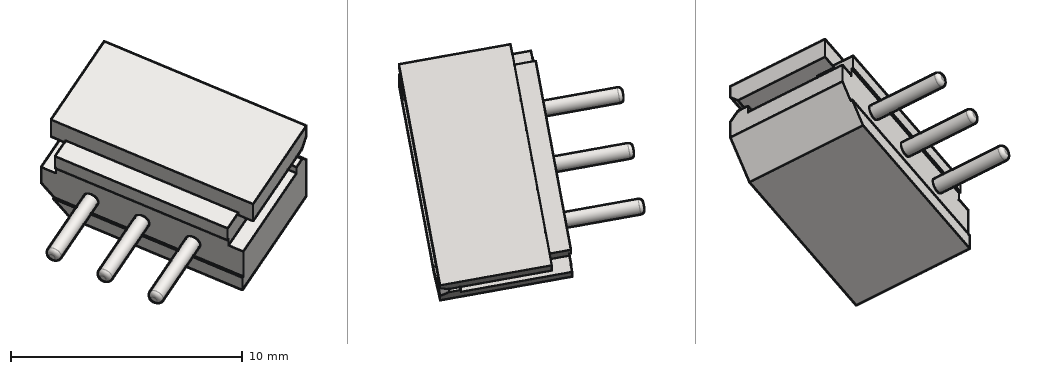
import cadquery as cq
import math

width = 9.9
height = 4.9
depth = 5.8
recess_depth = 0.08
rail_width = 0.72
rail_height = 2.6
floor_thickness = 0.495

front_pad_height = 0.87
block_depth = 1.8
block_height = 3.87
block_pad_bottom = 3.04

plate_bottom = 3.71
plate_front = 0.9

lip_height = 3.02
lip_length = 0.91
lead_in_depth = 0.4
lead_in_height = 0.48

key_size = 1.5
key_wall = 0.495

pin_diameter = 0.7
pin_length = 3.59
pin_pitch = 2.49
pin_count = 3
pin_height = 1.81
pin_tip_radius = 0.21


def extrude_across(points, left, right):
    """Extrude a Y-Z outline between two X positions."""
    return cq.Workplane("YZ").workplane(offset=left).polyline(points).close().extrude(right - left)


def extrude_back(points, front, back):
    """Extrude an X-Z outline between two Y positions."""
    return cq.Workplane("XZ", origin=(0, front, 0)).polyline(points).close().extrude(front - back)


def make_base():
    """Lower housing with its proud pad and the catch lip along the back."""
    side_outline = [
        (-recess_depth, 0),
        (depth, 0),
        (depth, lip_height - lead_in_height),
        (depth - lead_in_depth, lip_height),
        (depth - lip_length, lip_height),
        (depth - lip_length, rail_height),
        (0, rail_height),
        (0, front_pad_height),
        (-recess_depth, front_pad_height),
    ]
    return extrude_across(side_outline, 0, width)


def make_key_corner():
    """Triangular prism removed from the lower left corner."""
    return extrude_back([(0, 0), (key_size, 0), (0, key_size)], -recess_depth, depth)


def make_cavity():
    """Open-backed cavity between the rails, sloped to follow the outer corner."""
    slope_sum = key_size + key_wall * math.sqrt(2)
    outline = [
        (slope_sum - floor_thickness, floor_thickness),
        (width - rail_width, floor_thickness),
        (width - rail_width, plate_bottom),
        (rail_width, plate_bottom),
        (rail_width, slope_sum - rail_width),
    ]
    return extrude_back(outline, block_depth, depth)


def make_block():
    """Central block joining the housing to the top plate."""
    side_outline = [
        (0, floor_thickness),
        (block_depth, floor_thickness),
        (block_depth, block_height),
        (-recess_depth, block_height),
        (-recess_depth, block_pad_bottom),
        (0, block_pad_bottom),
    ]
    block = extrude_across(side_outline, rail_width, width - rail_width)
    return block.cut(make_key_corner())


def make_plate():
    """Top plate with a sloped lead-in under its back edge."""
    side_outline = [
        (plate_front, plate_bottom),
        (depth - lead_in_depth, plate_bottom),
        (depth, plate_bottom + lead_in_height),
        (depth, height),
        (plate_front, height),
    ]
    return extrude_across(side_outline, 0, width)


def make_pin(x):
    """Round pin standing out of the front face, with a rounded tip."""
    pin_root = block_depth / 2
    pin = (
        cq.Workplane("XZ", origin=(x, pin_root, pin_height))
        .circle(pin_diameter / 2)
        .extrude(pin_root + pin_length)
    )
    return pin.faces("<Y").edges().fillet(pin_tip_radius)


housing = make_base().cut(make_key_corner()).cut(make_cavity())
result = housing.union(make_block()).union(make_plate())
for index in range(pin_count):
    pin_x = width / 2 + (index - (pin_count - 1) / 2) * pin_pitch
    result = result.union(make_pin(pin_x))